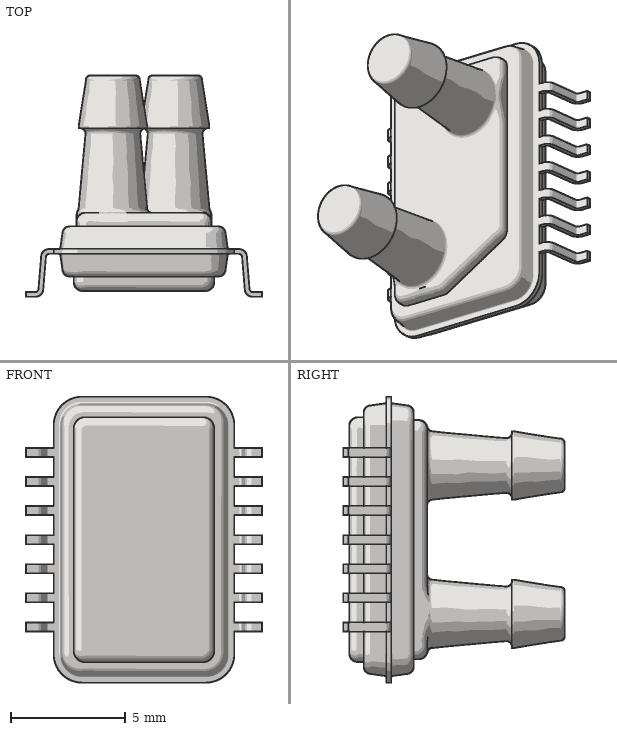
import cadquery as cq
import math


CORNER_X, CORNER_Z = 2.70, 5.00
FLANGE_RADIUS = 1.25
FRAME_THICKNESS = 0.22
FLANGE_HALF_X = CORNER_X + FLANGE_RADIUS
FLANGE_HALF_Z = CORNER_Z + FLANGE_RADIUS

BODY_RADIUS = 0.98
BODY_HALF_DEPTH = 1.10
BODY_DRAFT = 8.0
BODY_EDGE_RADIUS = 0.33
SEAM_FILLET = 0.07

PAD_HALF_X, PAD_HALF_Z = 3.07, 5.35
PAD_Y = -1.735
PAD_CORNER_RADIUS = 0.50
PAD_EDGE_RADIUS = 0.40

PLATEAU_HALF_X, PLATEAU_HALF_Z = 2.95, 5.23
PLATEAU_Y = 1.69
PLATEAU_CORNER_RADIUS = 0.50
PLATEAU_EDGE_RADIUS = 0.40
CUT_START_Z = -3.31
CUT_SLOPE = 30.0

PORT_X, PORT_Z = 1.36, 3.24
PORT_TIP_Y = 7.69
PORT_TOP_FLAT_RADIUS = 1.00
PORT_TIP_RADIUS = 1.18
PORT_TIP_EDGE = 0.22
BARB_RADIUS = 1.50
BARB_Y = 5.38
BARB_LAND = 0.09
NECK_RADIUS = 1.20
NECK_FILLET = 0.24
NECK_Y = BARB_Y - NECK_FILLET
PORT_BASE_RADIUS = 1.50
FLARE = 0.21

LEAD_COUNT = 7
LEAD_PITCH = 1.27
LEAD_WIDTH = 0.405
LEAD_TIP_X = 5.16
LEAD_FOOT_Y = -1.99
LEAD_KNEE_X = 4.47
LEAD_TILT = 4.7
BEND_OUTER_RADIUS = 0.36
BEND_INNER_RADIUS = 0.14

EMBED = 0.30


def prism(outline, y_start, y_end):
    """Extrude an (x, z) polygon from y_start to y_end."""
    plane = cq.Workplane("XZ", origin=(0, y_start, 0))
    return plane.polyline(outline).close().extrude(y_start - y_end)


def rectangle(half_x, half_z):
    return [(-half_x, -half_z), (half_x, -half_z), (half_x, half_z), (-half_x, half_z)]


def make_flange():
    half = FRAME_THICKNESS / 2
    flange = prism(rectangle(FLANGE_HALF_X, FLANGE_HALF_Z), -half, half)
    return flange.edges("|Y").fillet(FLANGE_RADIUS)


def make_body_half(side):
    """Drafted half of the body; side is +1 towards +Y or -1 towards -Y."""
    plane = cq.Plane(origin=(0, 0, 0), xDir=(1, 0, 0), normal=(0, side, 0))
    width = 2 * (CORNER_X + BODY_RADIUS)
    height = 2 * (CORNER_Z + BODY_RADIUS)
    outline = cq.Sketch().rect(width, height).vertices().fillet(BODY_RADIUS)
    half = cq.Workplane(plane).placeSketch(outline).extrude(BODY_HALF_DEPTH, taper=BODY_DRAFT)
    end_face = ">Y" if side > 0 else "<Y"
    return half.faces(end_face).edges().fillet(BODY_EDGE_RADIUS)


def make_pad():
    pad = prism(rectangle(PAD_HALF_X, PAD_HALF_Z), PAD_Y, EMBED - BODY_HALF_DEPTH)
    pad = pad.edges("|Y").fillet(PAD_CORNER_RADIUS)
    return pad.faces("<Y").edges().fillet(PAD_EDGE_RADIUS)


def make_plateau_blank(y_end):
    """Rounded plateau outline with one corner cut away, up to y_end."""
    cut_end_x = -PLATEAU_HALF_X + (PLATEAU_HALF_Z + CUT_START_Z) / math.tan(math.radians(CUT_SLOPE))
    outline = [
        (-PLATEAU_HALF_X, CUT_START_Z),
        (cut_end_x, -PLATEAU_HALF_Z),
        (PLATEAU_HALF_X, -PLATEAU_HALF_Z),
        (PLATEAU_HALF_X, PLATEAU_HALF_Z),
        (-PLATEAU_HALF_X, PLATEAU_HALF_Z),
    ]
    blank = prism(outline, BODY_HALF_DEPTH - EMBED, y_end)
    return blank.edges("|Y").fillet(PLATEAU_CORNER_RADIUS)


def make_port(x, z):
    """Barbed hose port revolved about its own axis parallel to Y."""
    foot_y = BODY_HALF_DEPTH - EMBED
    flare_top = PLATEAU_Y + FLARE
    quarter = math.sqrt(0.5)
    flare_mid = (
        PORT_BASE_RADIUS + FLARE * (1 - quarter),
        flare_top - FLARE * quarter,
    )
    neck_mid = (
        NECK_RADIUS + NECK_FILLET * (1 - quarter),
        NECK_Y + NECK_FILLET * quarter,
    )
    tip_mid = (
        PORT_TOP_FLAT_RADIUS + (PORT_TIP_RADIUS - PORT_TOP_FLAT_RADIUS) * quarter,
        PORT_TIP_Y - PORT_TIP_EDGE * (1 - quarter),
    )
    profile = (
        cq.Workplane("XY")
        .moveTo(0, foot_y)
        .lineTo(PORT_BASE_RADIUS, foot_y)
        .lineTo(PORT_BASE_RADIUS, PLATEAU_Y)
        .lineTo(PORT_BASE_RADIUS + FLARE, PLATEAU_Y)
        .threePointArc(flare_mid, (PORT_BASE_RADIUS, flare_top))
        .lineTo(NECK_RADIUS, NECK_Y)
        .threePointArc(neck_mid, (NECK_RADIUS + NECK_FILLET, BARB_Y))
        .lineTo(BARB_RADIUS, BARB_Y)
        .lineTo(BARB_RADIUS, BARB_Y + BARB_LAND)
        .lineTo(PORT_TIP_RADIUS, PORT_TIP_Y - PORT_TIP_EDGE)
        .threePointArc(tip_mid, (PORT_TOP_FLAT_RADIUS, PORT_TIP_Y))
        .lineTo(0, PORT_TIP_Y)
        .close()
    )
    return profile.revolve(360, (0, 0, 0), (0, 1, 0)).translate((x, 0, z))


def make_port_carrier():
    """Plateau with both ports, its rim rounded where it also clips the port flares."""
    envelope = make_plateau_blank(PORT_TIP_Y)
    carrier = make_plateau_blank(PLATEAU_Y)
    for x, z in [(-PORT_X, PORT_Z), (PORT_X, -PORT_Z)]:
        carrier = carrier.union(make_port(x, z).intersect(envelope))

    def is_side_wall(face):
        return face.BoundingBox().ymin < BODY_HALF_DEPTH

    def is_rim(edge):
        return edge.BoundingBox().ymin > PLATEAU_Y - PLATEAU_EDGE_RADIUS

    rim = carrier.faces("not <Y").filter(is_side_wall).edges().filter(is_rim)
    return rim.fillet(PLATEAU_EDGE_RADIUS)


def make_lead(side, z):
    """Gull-wing lead on the +X (side = 1) or -X (side = -1) edge."""
    top = FRAME_THICKNESS / 2
    slope = math.tan(math.radians(LEAD_TILT))
    leg_width = FRAME_THICKNESS / math.cos(math.radians(LEAD_TILT))
    foot_top = LEAD_FOOT_Y + FRAME_THICKNESS

    def outer_x(y):
        return LEAD_KNEE_X + (top - y) * slope

    outline = [
        (FLANGE_HALF_X - EMBED, top),
        (outer_x(top), top),
        (outer_x(foot_top), foot_top),
        (LEAD_TIP_X, foot_top),
        (LEAD_TIP_X, LEAD_FOOT_Y),
        (outer_x(LEAD_FOOT_Y) - leg_width, LEAD_FOOT_Y),
        (outer_x(-top) - leg_width, -top),
        (FLANGE_HALF_X - EMBED, -top),
    ]
    knee_outer, foot_inner, foot_outer, knee_inner = outline[1], outline[2], outline[5], outline[6]
    lead = cq.Workplane("XY").polyline(outline).close().extrude(LEAD_WIDTH / 2, both=True)
    bends = [
        (knee_outer, BEND_OUTER_RADIUS),
        (foot_outer, BEND_OUTER_RADIUS),
        (knee_inner, BEND_INNER_RADIUS),
        (foot_inner, BEND_INNER_RADIUS),
    ]
    for (x, y), radius in bends:
        lead = lead.edges(cq.selectors.NearestToPointSelector((x, y, 0))).fillet(radius)
    if side < 0:
        lead = lead.mirror("YZ")
    return lead.translate((0, 0, z))


housing = make_body_half(1).union(make_body_half(-1)).union(make_flange())
seam_limit_x = FLANGE_HALF_X - SEAM_FILLET
seam_limit_z = FLANGE_HALF_Z - SEAM_FILLET
seam_box = cq.selectors.BoxSelector(
    (-seam_limit_x, -FRAME_THICKNESS, -seam_limit_z),
    (seam_limit_x, FRAME_THICKNESS, seam_limit_z),
    boundingbox=True,
)
housing = housing.edges(seam_box).fillet(SEAM_FILLET)

result = housing.union(make_pad()).union(make_port_carrier())

for side in (-1, 1):
    for index in range(LEAD_COUNT):
        z = (index - (LEAD_COUNT - 1) / 2) * LEAD_PITCH
        result = result.union(make_lead(side, z))